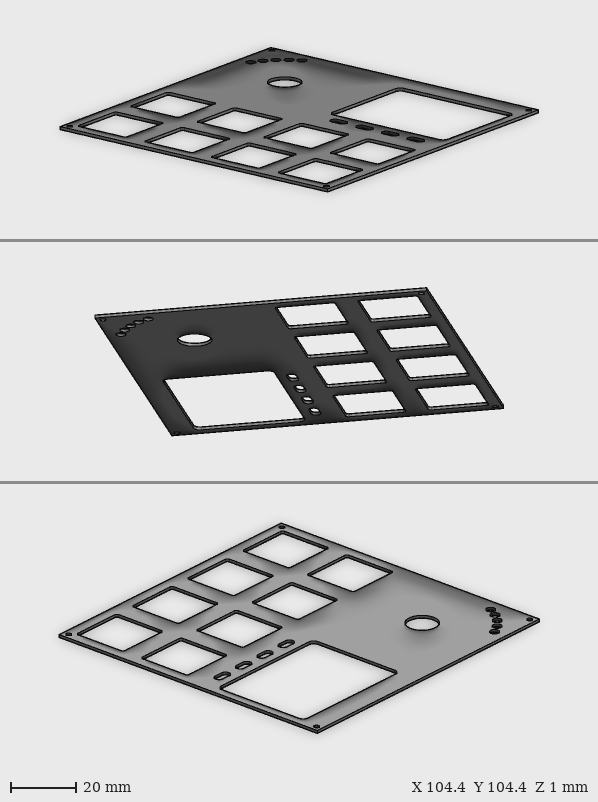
import cadquery as cq
import math

plate_side = 104.4
plate_thickness = 1.0

screw_diameter = 1.8
screw_inset = 2.1

upper_centre = 26.7

knob_diameter = 10.5
indicator_diameter = 3.0
indicator_count = 5
indicator_arc_radius = 23.1
indicator_arc_middle = 135.0
indicator_arc_step = 10.0

window_width = 45.0
window_height = 35.0
window_corner_radius = 2.0

slot_count = 4
slot_length = 6.1
slot_width = 3.0
slot_pitch = 10.0
slot_row_y = 4.8

key_columns = 4
key_rows = 2
key_side = 18.9
key_pitch = 26.0
key_corner_radius = 0.8
key_grid_y = -key_pitch


def cutters():
    """Workplane on which the full-thickness cutters are drawn."""
    return cq.Workplane("XY").workplane(offset=-plate_thickness / 2)


def rounded_opening(width, height, radius):
    """Rectangular cutter, centred on the origin, with rounded corners."""
    return cutters().rect(width, height).extrude(plate_thickness).edges("|Z").fillet(radius)


def screw_holes():
    spacing = plate_side - 2 * screw_inset
    corners = cutters().rect(spacing, spacing, forConstruction=True).vertices()
    return corners.circle(screw_diameter / 2).extrude(plate_thickness)


def knob_hole():
    centre = cutters().center(-upper_centre, upper_centre)
    return centre.circle(knob_diameter / 2).extrude(plate_thickness)


def indicator_holes():
    first_angle = indicator_arc_middle - indicator_arc_step * (indicator_count - 1) / 2
    points = []
    for i in range(indicator_count):
        angle = math.radians(first_angle + i * indicator_arc_step)
        x = -upper_centre + indicator_arc_radius * math.cos(angle)
        y = upper_centre + indicator_arc_radius * math.sin(angle)
        points.append((x, y))
    return cutters().pushPoints(points).circle(indicator_diameter / 2).extrude(plate_thickness)


def display_window():
    window = rounded_opening(window_width, window_height, window_corner_radius)
    return window.translate((upper_centre, upper_centre, 0))


def slots():
    row = cutters().center(upper_centre, slot_row_y).rarray(slot_pitch, 1, slot_count, 1)
    return row.slot2D(slot_length, slot_width).extrude(plate_thickness)


def key_openings():
    key = rounded_opening(key_side, key_side, key_corner_radius).val()
    grid = cq.Workplane("XY").center(0, key_grid_y)
    grid = grid.rarray(key_pitch, key_pitch, key_columns, key_rows)
    return grid.eachpoint(lambda place: key.moved(place))


result = cq.Workplane("XY").box(plate_side, plate_side, plate_thickness)
result = result.cut(screw_holes())
result = result.cut(knob_hole())
result = result.cut(indicator_holes())
result = result.cut(display_window())
result = result.cut(slots())
result = result.cut(key_openings())